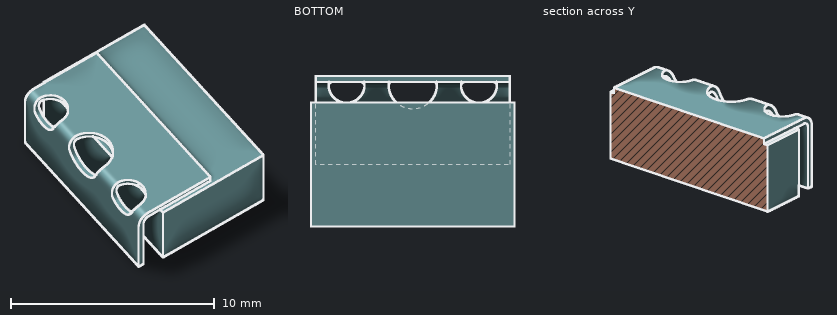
import cadquery as cq
import math

block_width = 10.0
block_depth = 6.1
block_height = 3.6

sheet_width = 9.54
sheet_thickness = 0.3
sheet_depth = 4.35
inner_bend_radius = 0.3
overall_depth = 7.4

hole_offset_from_bend = 0.16
small_hole_radius = 0.88
large_hole_radius = 1.18
small_hole_spacing = 3.25
curve_segments = 12
cutter_overrun = 0.15

outer_bend_radius = inner_bend_radius + sheet_thickness
neutral_bend_radius = inner_bend_radius + sheet_thickness / 2
bend_length = neutral_bend_radius * math.pi / 2
overall_height = block_height + sheet_thickness
bend_y = outer_bend_radius
bend_z = overall_height - outer_bend_radius
block_front_y = overall_depth - block_depth


def make_block():
    block = cq.Workplane("XY").box(block_width, block_depth, block_height, centered=(True, False, False))
    return block.translate((0, block_front_y, 0))


def make_sheet():
    """L-shaped sheet with a rounded bend, extruded across X."""
    diagonal = math.cos(math.pi / 4)
    outer_middle = (bend_y - outer_bend_radius * diagonal, bend_z + outer_bend_radius * diagonal)
    inner_middle = (bend_y - inner_bend_radius * diagonal, bend_z + inner_bend_radius * diagonal)
    return (
        cq.Workplane("YZ")
        .moveTo(0, 0)
        .lineTo(0, bend_z)
        .threePointArc(outer_middle, (bend_y, overall_height))
        .lineTo(sheet_depth, overall_height)
        .lineTo(sheet_depth, block_height)
        .lineTo(bend_y, block_height)
        .threePointArc(inner_middle, (sheet_thickness, bend_z))
        .lineTo(sheet_thickness, 0)
        .close()
        .extrude(sheet_width / 2, both=True)
    )


def bend_point(side, center_x, hole_radius, bend_radius, angle):
    """Point of the hole's edge at an angle round the bend, counted from the top flat."""
    along = neutral_bend_radius * angle - hole_offset_from_bend
    half_chord = math.sqrt(hole_radius**2 - along**2)
    return cq.Vector(
        center_x + side * half_chord,
        bend_y - bend_radius * math.sin(angle),
        bend_z + bend_radius * math.cos(angle),
    )


def bend_edge(side, center_x, hole_radius, bend_radius):
    angles = [math.pi / 2 * i / curve_segments for i in range(curve_segments + 1)]
    return cq.Edge.makeSpline([bend_point(side, center_x, hole_radius, bend_radius, a) for a in angles])


def make_bend_cutter(center_x, hole_radius):
    """Part of the hole inside the bend, with walls that stay square to the sheet."""
    near = inner_bend_radius - cutter_overrun
    far = outer_bend_radius + cutter_overrun
    left_near = bend_edge(-1, center_x, hole_radius, near)
    left_far = bend_edge(-1, center_x, hole_radius, far)
    right_near = bend_edge(1, center_x, hole_radius, near)
    right_far = bend_edge(1, center_x, hole_radius, far)
    faces = [
        cq.Face.makeRuledSurface(left_near, left_far),
        cq.Face.makeRuledSurface(right_near, right_far),
        cq.Face.makeRuledSurface(left_near, right_near),
        cq.Face.makeRuledSurface(left_far, right_far),
    ]
    for end in (0, 1):
        corners = [edge.positionAt(end) for edge in (left_near, left_far, right_far, right_near)]
        faces.append(cq.Face.makeFromWires(cq.Wire.makePolygon(corners, close=True)))
    return cq.Workplane(cq.Solid.makeSolid(cq.Shell.makeShell(faces)).fix())


def make_top_cutter(center_x, hole_radius):
    """Part of the hole in the top flat, behind the bend."""
    cutter_height = sheet_thickness + 2 * cutter_overrun
    disc = (
        cq.Workplane("XY", origin=(center_x, bend_y - hole_offset_from_bend, block_height - cutter_overrun))
        .circle(hole_radius)
        .extrude(cutter_height)
    )
    keep = cq.Workplane("XY").box(
        block_width, overall_depth, overall_height + cutter_height, centered=(True, False, False)
    )
    return disc.intersect(keep.translate((0, bend_y, 0)))


def make_front_cutter(center_x, hole_radius):
    """Part of the hole in the upright flat, below the bend."""
    cutter_depth = sheet_thickness + 2 * cutter_overrun
    center_z = bend_z + bend_length - hole_offset_from_bend
    disc = (
        cq.Workplane("XZ", origin=(center_x, sheet_thickness + cutter_overrun, center_z))
        .circle(hole_radius)
        .extrude(cutter_depth)
    )
    keep = cq.Workplane("XY").box(block_width, overall_depth, bend_z, centered=(True, True, False))
    return disc.intersect(keep)


def cut_bent_hole(sheet, center_x, hole_radius):
    for make_cutter in (make_top_cutter, make_bend_cutter, make_front_cutter):
        sheet = sheet.cut(make_cutter(center_x, hole_radius))
    return sheet


sheet = make_sheet()
holes = (
    (-small_hole_spacing, small_hole_radius),
    (0, large_hole_radius),
    (small_hole_spacing, small_hole_radius),
)
for hole_x, hole_radius in holes:
    sheet = cut_bent_hole(sheet, hole_x, hole_radius)

result = make_block().union(sheet)